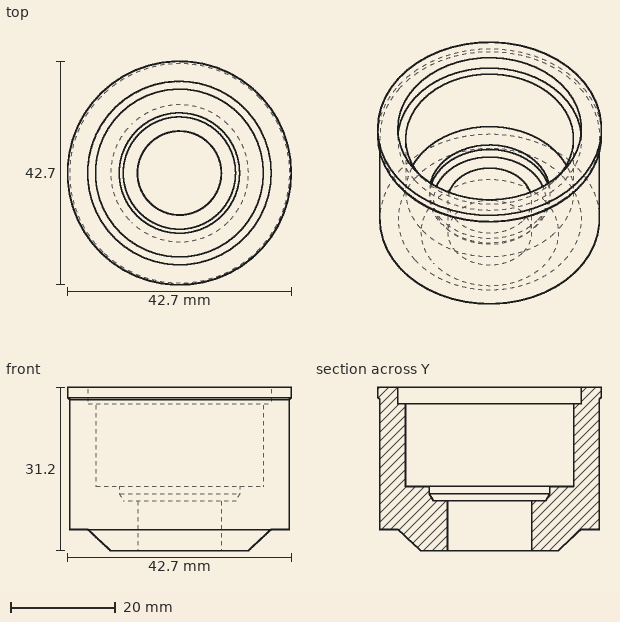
import cadquery as cq

total_height = 31.2
cone_height = 4.05
flange_height = 1.95
flange_chamfer = 0.4

flange_radius = 21.35
body_radius = 20.95
cone_top_radius = 17.45
cone_bottom_radius = 13.1

rim_recess_radius = 17.5
rim_recess_depth = 3.1
main_bore_radius = 16.0
main_bore_depth = 18.9
seat_radius = 11.5
seat_floor_radius = 10.7
seat_height = 1.35
seat_taper_height = 1.32
through_hole_radius = 8.0

flange_bottom = total_height - flange_height - flange_chamfer
rim_recess_floor = total_height - rim_recess_depth
main_bore_floor = total_height - main_bore_depth
seat_bottom = main_bore_floor - seat_height
seat_floor = seat_bottom - seat_taper_height

half_section = [
    (through_hole_radius, 0),
    (cone_bottom_radius, 0),
    (cone_top_radius, cone_height),
    (body_radius, cone_height),
    (body_radius, flange_bottom),
    (flange_radius, flange_bottom + flange_chamfer),
    (flange_radius, total_height),
    (rim_recess_radius, total_height),
    (rim_recess_radius, rim_recess_floor),
    (main_bore_radius, rim_recess_floor),
    (main_bore_radius, main_bore_floor),
    (seat_radius, main_bore_floor),
    (seat_radius, seat_bottom),
    (seat_floor_radius, seat_floor),
    (through_hole_radius, seat_floor),
]

result = cq.Workplane("XZ").polyline(half_section).close().revolve(360, (0, 0), (0, 1))